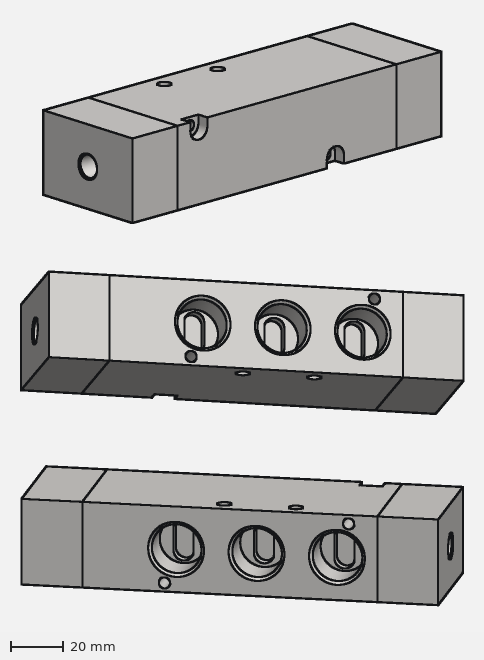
import cadquery as cq

WIDTH = 50.0
LENGTH = 163.0
HEIGHT = 34.0
CAP_LENGTH = 23.8
BODY_LENGTH = LENGTH - 2 * CAP_LENGTH
SIDE_X = -WIDTH / 2
FAR_SIDE_X = WIDTH / 2

MIDDLE_PORT_Y = -10.5
PORT_PITCH = 31.5
PORT_MOUTH_DIAMETER = 21.8
PORT_TOP_DIAMETER = 19.4
PORT_FLOOR_DIAMETER = 18.6
PORT_DEPTH = 15.0

SLOT_WIDTH = 7.8
SLOT_DEPTH = 4.9
OUTER_SLOT_HEIGHT = 16.6
MIDDLE_SLOT_HEIGHT = 15.6

VERTICAL_HOLE_DIAMETER = 5.5
VERTICAL_HOLE_X = -17.6
VERTICAL_HOLE_PITCH = 28.0

CROSS_HOLE_DIAMETER = 4.4
CROSS_HOLE_PITCH_Y = 72.0
CROSS_HOLE_PITCH_Z = 27.0
NOTCH_WIDTH = 9.0
NOTCH_DEPTH = 5.0

PILOT_MOUTH_DIAMETER = 10.5
PILOT_TOP_DIAMETER = 9.3
PILOT_FLOOR_DIAMETER = 8.6
PILOT_DEPTH = 10.0


def tapered_bore(start, direction, mouth_diameter, top_diameter, floor_diameter, depth):
    """Blind cutter: a 45 degree mouth chamfer, then a gently tapered wall down to a flat floor."""
    chamfer = (mouth_diameter - top_diameter) / 2
    mouth = cq.Solid.makeCone(mouth_diameter / 2, top_diameter / 2, chamfer, start, direction)
    wall_start = start + direction * chamfer
    wall = cq.Solid.makeCone(
        top_diameter / 2, floor_diameter / 2, depth - chamfer, wall_start, direction
    )
    return cq.Workplane(obj=mouth.fuse(wall))


def port(y, slot_height):
    """Cutter for one main port and the slot in its floor."""
    start = cq.Vector(SIDE_X, y, 0)
    bore = tapered_bore(
        start,
        cq.Vector(1, 0, 0),
        PORT_MOUTH_DIAMETER,
        PORT_TOP_DIAMETER,
        PORT_FLOOR_DIAMETER,
        PORT_DEPTH,
    )
    slot = (
        cq.Workplane("YZ", origin=(SIDE_X + PORT_DEPTH, y, 0))
        .slot2D(slot_height, SLOT_WIDTH, 90)
        .extrude(SLOT_DEPTH)
    )
    return bore.union(slot)


def cross_hole(side):
    """Cutter for a cross hole: side 1 is the one near the top, -1 the one near the bottom."""
    y = MIDDLE_PORT_Y - side * CROSS_HOLE_PITCH_Y / 2
    z = side * CROSS_HOLE_PITCH_Z / 2
    hole = (
        cq.Workplane("YZ", origin=(SIDE_X, y, z))
        .circle(CROSS_HOLE_DIAMETER / 2)
        .extrude(WIDTH)
    )
    notch_plane = cq.Workplane("YZ", origin=(FAR_SIDE_X - NOTCH_DEPTH, y, z))
    notch_end = notch_plane.circle(NOTCH_WIDTH / 2).extrude(NOTCH_DEPTH)
    notch_mouth = (
        notch_plane.center(0, side * NOTCH_WIDTH / 2)
        .rect(NOTCH_WIDTH, NOTCH_WIDTH)
        .extrude(NOTCH_DEPTH)
    )
    return hole.union(notch_end).union(notch_mouth)


def make_valve_body():
    """Middle block with the main ports, vertical holes and cross holes."""
    body = cq.Workplane().box(WIDTH, BODY_LENGTH, HEIGHT)
    for step, slot_height in (
        (-1, OUTER_SLOT_HEIGHT),
        (0, MIDDLE_SLOT_HEIGHT),
        (1, OUTER_SLOT_HEIGHT),
    ):
        body = body.cut(port(MIDDLE_PORT_Y + step * PORT_PITCH, slot_height))
    for side in (-1, 1):
        vertical_hole = (
            cq.Workplane(origin=(VERTICAL_HOLE_X, MIDDLE_PORT_Y + side * VERTICAL_HOLE_PITCH / 2, 0))
            .circle(VERTICAL_HOLE_DIAMETER / 2)
            .extrude(HEIGHT, both=True)
        )
        body = body.cut(vertical_hole).cut(cross_hole(side))
    return body


def make_end_cap(side):
    """End cap at the +Y (side 1) or -Y (side -1) end, with its pilot port."""
    cap = cq.Workplane().box(WIDTH, CAP_LENGTH, HEIGHT)
    cap = cap.translate((0, side * (LENGTH - CAP_LENGTH) / 2, 0))
    start = cq.Vector(0, side * LENGTH / 2, 0)
    inward = cq.Vector(0, -side, 0)
    pilot_port = tapered_bore(
        start,
        inward,
        PILOT_MOUTH_DIAMETER,
        PILOT_TOP_DIAMETER,
        PILOT_FLOOR_DIAMETER,
        PILOT_DEPTH,
    )
    return cap.cut(pilot_port)


valve_body = make_valve_body()
end_caps = [make_end_cap(side) for side in (-1, 1)]

result = cq.Compound.makeCompound([valve_body.val(), *[cap.val() for cap in end_caps]])